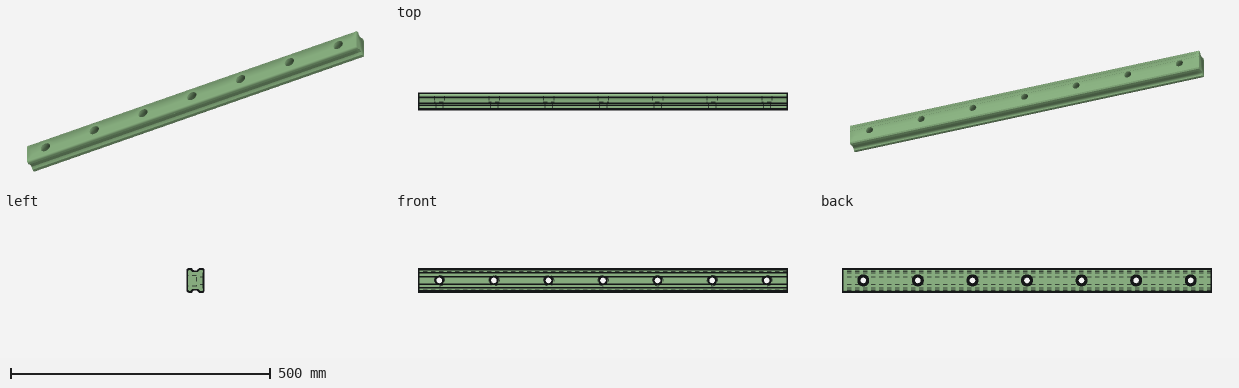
import cadquery as cq

length = 710.0
depth = 32.0
height = 45.0
half_depth = depth / 2
half_height = height / 2

base_bevel = 2.0
head_radius = 4.0

groove_depth = 4.0
groove_base_edge = -8.0
groove_base_floor = -3.5
groove_head_floor = 3.5
groove_head_edge = 8.0

outer_relief_width = 29.0
outer_relief_depth = 0.3
inner_relief_width = 15.0
inner_relief_depth = 0.6

hole_count = 7
hole_pitch = 105.0
hole_diameter = 14.0
bore_diameter = 20.0
bore_depth = 17.0


def make_half_rail():
    """Extrude the upper half of the cross-section along X."""
    floor_z = half_height - groove_depth
    profile = (
        cq.Workplane("YZ")
        .moveTo(-half_depth, 0)
        .lineTo(-half_depth, half_height - base_bevel)
        .lineTo(-half_depth + base_bevel, half_height)
        .lineTo(groove_base_edge, half_height)
        .lineTo(groove_base_floor, floor_z)
        .lineTo(groove_head_floor, floor_z)
        .tangentArcPoint((groove_head_edge, half_height), relative=False)
        .lineTo(half_depth - head_radius, half_height)
        .tangentArcPoint((half_depth, half_height - head_radius), relative=False)
        .lineTo(half_depth, 0)
        .close()
    )
    return profile.extrude(length / 2, both=True)


def make_face_groove(width, groove_cut):
    """Make a rectangular bar that cuts a full-length groove in the mounting face."""
    return (
        cq.Workplane("XY")
        .box(length, groove_cut, width, centered=(True, False, True))
        .translate((0, -half_depth, 0))
    )


def cut_mounting_face(rail):
    """Cut the wide shallow step and the narrower, deeper one."""
    outer_relief = make_face_groove(outer_relief_width, outer_relief_depth)
    inner_relief = make_face_groove(inner_relief_width, inner_relief_depth)
    return rail.cut(outer_relief).cut(inner_relief)


def drill_mounting_holes(rail):
    """Drill through Y, with the counterbores on the head face."""
    return (
        rail.faces(">Y")
        .workplane(centerOption="CenterOfBoundBox")
        .rarray(hole_pitch, 7, hole_count, 1)
        .cboreHole(hole_diameter, bore_diameter, bore_depth)
    )


half_rail = make_half_rail()
rail_blank = half_rail.union(half_rail.mirror("XY")).clean()
result = drill_mounting_holes(cut_mounting_face(rail_blank))